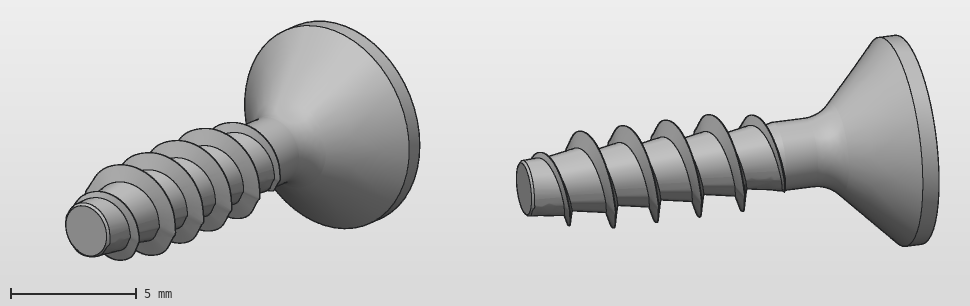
import cadquery as cq
import math

length = 16.0
head_radius = 4.2
head_rim_height = 0.68
cone_angle = math.radians(45)
shank_radius = 1.38
shank_end = 5.5
neck_fillet = 1.6

pitch = 1.79
crest_depth_at_start = 5.70
crest_radius = 2.0
crest_half_flat = 0.015
flank_slope = math.tan(math.radians(18))

fade_in_start = -0.5
fade_in_end = 0.83
fade_out_start = 4.33
fade_out_end = 5.57
run_out_crest_radius = 1.2

tip_radius = 1.10
core_radius = 1.0
tip_chamfer = 0.06
ramp_top_radius = 1.39
ramp_bottom_radius = 1.09
ramp_gap = 0.05
buried_radius = 0.9
shoulder_radius = 1.15
shoulder_height = 0.95

first_ramp_turn = -1.0
last_turn = 6.0
spans_per_turn = 2
points_per_span = 8
tangent_step = 0.001


def fade(turn, start, end, start_value, end_value):
    """Value that changes linearly between two turns and is constant outside them."""
    share = min(max((turn - start) / (end - start), 0.0), 1.0)
    return start_value + share * (end_value - start_value)


def ridge_section(turn):
    """Thread tooth as (offset below crest, radius) corners."""
    if turn < fade_out_start:
        crest = fade(turn, fade_in_start, fade_in_end, shank_radius, crest_radius)
    else:
        crest = fade(turn, fade_out_start, fade_out_end, crest_radius, run_out_crest_radius)
    half_root = crest_half_flat + (crest - buried_radius) * flank_slope
    return [
        (-half_root, buried_radius),
        (-crest_half_flat, crest),
        (crest_half_flat, crest),
        (half_root, buried_radius),
    ]


def ramp_section(turn):
    """Core swelling from one crest to just short of the next."""
    top = fade(turn, fade_out_start, fade_out_end, ramp_top_radius, tip_radius)
    bottom_offset = pitch - ramp_gap
    return [
        (0.0, buried_radius),
        (0.0, top),
        (bottom_offset, ramp_bottom_radius),
        (bottom_offset, buried_radius),
    ]


def helix_point(turn, offset, radius):
    """Place a section corner; turning from +X through +Z towards the tip makes a right-hand thread."""
    angle = 2 * math.pi * turn
    depth = crest_depth_at_start + pitch * turn + offset
    return cq.Vector(radius * math.cos(angle), -depth, radius * math.sin(angle))


def evenly_spaced(first, last, steps):
    return [first + (last - first) * i / steps for i in range(steps + 1)]


def helix_path(section, corner, first_turn, end_turn):
    """Smooth edge that one corner of the section follows between two turns."""
    turns = evenly_spaced(first_turn, end_turn, points_per_span)
    points = [helix_point(t, *section(t)[corner]) for t in turns]
    tangents = []
    for t in (first_turn, end_turn):
        before = helix_point(t - tangent_step, *section(t - tangent_step)[corner])
        after = helix_point(t + tangent_step, *section(t + tangent_step)[corner])
        tangents.append(after - before)
    return cq.Edge.makeSpline(points, tangents=tangents)


def helical_solid(section, first_turn, end_turn):
    """Solid whose cross-section at every turn is section(turn)."""
    spans = math.ceil((end_turn - first_turn) * spans_per_turn)
    turns = evenly_spaced(first_turn, end_turn, spans)
    corner_count = len(section(first_turn))
    faces = []
    for span_start, span_end in zip(turns, turns[1:]):
        edges = [helix_path(section, corner, span_start, span_end) for corner in range(corner_count)]
        for edge, next_edge in zip(edges, edges[1:] + edges[:1]):
            faces.append(cq.Face.makeRuledSurface(edge, next_edge))
    for turn in (first_turn, end_turn):
        corners = [helix_point(turn, *corner) for corner in section(turn)]
        faces.append(cq.Face.makeFromWires(cq.Wire.makePolygon(corners, close=True)))
    solid = cq.Solid.makeSolid(cq.Shell.makeShell(faces))
    return cq.Workplane(solid.fix())


def make_body():
    """Head, filleted neck, shank, shoulder and plain core, revolved about Y."""
    fillet_radius_rise = neck_fillet * (1 - math.cos(cone_angle))
    fillet_start_radius = shank_radius + fillet_radius_rise
    fillet_start = head_rim_height + (head_radius - fillet_start_radius) / math.tan(cone_angle)
    fillet_end = fillet_start + neck_fillet * math.sin(cone_angle)
    mid_radius = shank_radius + neck_fillet * (1 - math.cos(cone_angle / 2))
    mid_depth = fillet_end - neck_fillet * math.sin(cone_angle / 2)
    shoulder_end = shank_end + shoulder_height
    return (
        cq.Workplane("XY")
        .lineTo(head_radius, 0)
        .lineTo(head_radius, -head_rim_height)
        .lineTo(fillet_start_radius, -fillet_start)
        .threePointArc((mid_radius, -mid_depth), (shank_radius, -fillet_end))
        .lineTo(shank_radius, -shank_end)
        .lineTo(shoulder_radius, -shoulder_end)
        .lineTo(core_radius, -shoulder_end)
        .lineTo(core_radius, -length)
        .lineTo(0, -length)
        .close()
        .revolve(360, (0, 0, 0), (0, 1, 0))
    )


def make_thread_zone():
    """Space from shank end to tip that bounds the thread; its tip continues the 45 degree chamfer."""
    tip_face_radius = tip_radius - tip_chamfer
    flare = head_radius - tip_face_radius
    return (
        cq.Workplane("XY")
        .moveTo(0, -shank_end)
        .lineTo(head_radius, -shank_end)
        .lineTo(head_radius, flare - length)
        .lineTo(tip_face_radius, -length)
        .lineTo(0, -length)
        .close()
        .revolve(360, (0, 0, 0), (0, 1, 0))
    )


zone = make_thread_zone()
ramp = helical_solid(ramp_section, first_ramp_turn, last_turn).intersect(zone)
ridge = helical_solid(ridge_section, fade_in_start, last_turn).intersect(zone)
result = make_body().union(ramp).union(ridge)